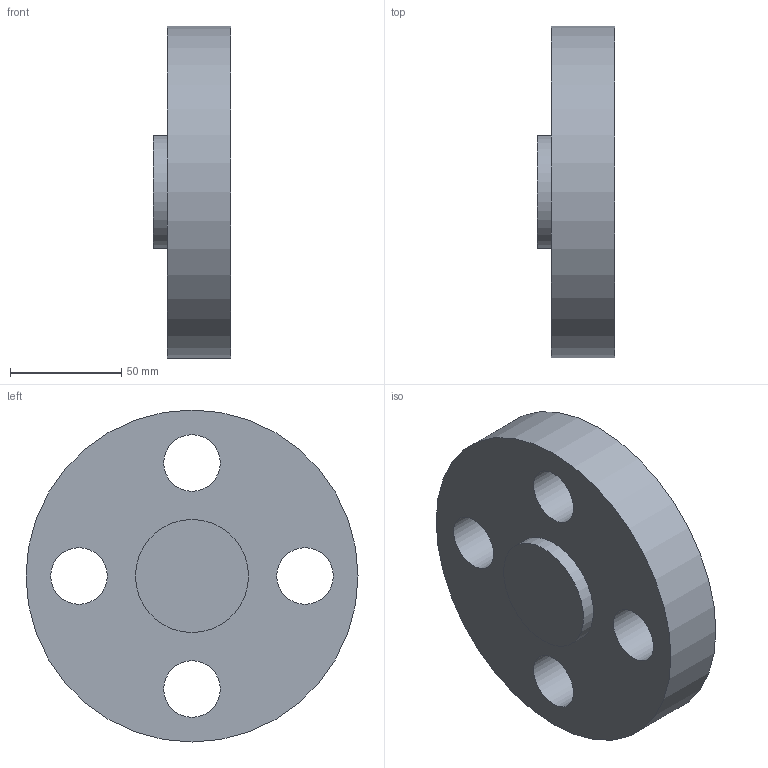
import cadquery as cq

flange_diameter = 149.225
flange_thickness = 28.575
raised_face_diameter = 50.8
raised_face_height = 6.35
bolt_circle_diameter = 101.6
bolt_hole_diameter = 25.4
bolt_hole_count = 4


def disc(diameter, start_x, length):
    """Solid disc centred on the X axis, from start_x towards +X."""
    return (
        cq.Workplane("YZ", origin=(start_x, 0, 0))
        .circle(diameter / 2)
        .extrude(length)
    )


def bolt_holes():
    """Through-hole cutters spaced evenly around the bolt circle, on the Y and Z axes."""
    return (
        cq.Workplane("YZ")
        .polarArray(bolt_circle_diameter / 2, 0, 360, bolt_hole_count, rotate=False)
        .circle(bolt_hole_diameter / 2)
        .extrude(flange_thickness)
    )


flange = disc(flange_diameter, 0, flange_thickness)
raised_face = disc(raised_face_diameter, -raised_face_height, raised_face_height)
result = flange.union(raised_face).cut(bolt_holes())